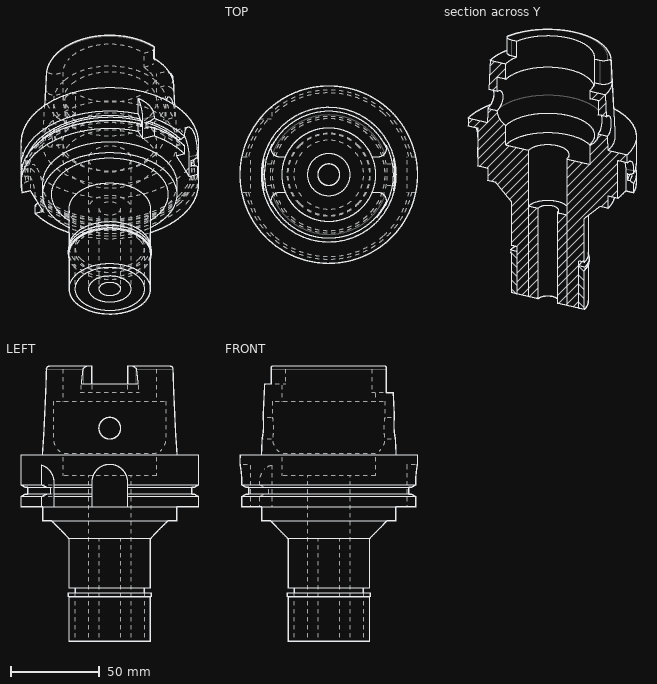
import cadquery as cq


SHANK_HEIGHT = 50.0
SHANK_BASE_RADIUS = 38.0
SHANK_TOP_RADIUS = 35.6
SHANK_RIM_FILLET = 2.0

FLANGE_DIAMETER = 100.0
FLANGE_RADIUS = FLANGE_DIAMETER / 2
FLANGE_THICKNESS = 29.3
GROOVE_FLOOR_RADIUS = 46.2
GROOVE_SHOULDER_RADIUS = 47.7
GROOVE_CENTRE_DEPTH = 20.2
GROOVE_FLOOR_WIDTH = 3.9
GROOVE_MOUTH_WIDTH = 6.7

COLLAR_RADIUS = 37.8
COLLAR_BOTTOM_DEPTH = 37.0
CONE_TOP_RADIUS = 32.9
CONE_BOTTOM_DEPTH = 47.1
NECK_RADIUS = 23.0
NECK_BOTTOM_DEPTH = 74.9
SPIGOT_RADIUS = 19.5
TOTAL_HEIGHT = 155.0
NOSE_DEPTH = TOTAL_HEIGHT - SHANK_HEIGHT

MOUTH_RADIUS = 26.4
MOUTH_DEPTH = 20.0
CHAMBER_RADIUS = 31.6
CHAMBER_FILLET = 9.9
CHAMBER_FILLET_TOP = 9.5
BORE_FLOOR = -11.6
COLLET_RADIUS = 12.0
COLLET_BORE_RADIUS = 6.0

CROSS_HOLE_RADIUS = 6.0
CROSS_HOLE_HEIGHT = 15.0
KEY_WIDTH = 20.0
SHALLOW_KEY_DEPTH = 10.0
DEEP_KEY_DEPTH = 15.0
KEY_CORNER_RADIUS = 4.6
KEY_SHOULDER = 32.4
NOTCH_TOP_DEPTH = 5.3
DRIVE_NOTCH_FLOOR = 44.0
SIDE_NOTCH_FLOOR = 32.0
SIDE_NOTCH_OFFSET = 41.4

NUT_RADIUS = NECK_RADIUS
NUT_TOP_DEPTH = 77.7
NUT_RIM_RADIUS = 23.4
NUT_RIM_HEIGHT = 1.9
NUT_RIM_CHAMFER = 0.5


def cylinder(radius, bottom, top):
    return cq.Workplane("XY").workplane(offset=bottom).circle(radius).extrude(top - bottom)


def revolved(outline):
    """Revolve a closed (radius, height) outline about the Z axis."""
    return cq.Workplane("XZ").polyline(outline).close().revolve(360, (0, 0), (0, 1))


def shank():
    """Hollow-shank cone with a key slot at either side and a rounded rim."""
    cone = revolved([
        (0, 0),
        (SHANK_BASE_RADIUS, 0),
        (SHANK_TOP_RADIUS, SHANK_HEIGHT),
        (0, SHANK_HEIGHT),
    ])
    cone = cone.faces(">Z").edges().fillet(SHANK_RIM_FILLET)
    return cone.cut(key_slot(-1, SHALLOW_KEY_DEPTH)).cut(key_slot(1, DEEP_KEY_DEPTH))


def key_slot(side, depth):
    """Radial slot in the shank rim, opening through rounded corners onto flat shoulders."""
    slot_half = KEY_WIDTH / 2
    flat_half = SHANK_TOP_RADIUS
    corner_x = side * (KEY_SHOULDER - KEY_CORNER_RADIUS)
    corner_y = slot_half + KEY_CORNER_RADIUS
    shoulder_x = side * KEY_SHOULDER
    outer_x = side * SHANK_BASE_RADIUS
    return (
        cq.Workplane("XY")
        .workplane(offset=SHANK_HEIGHT - depth)
        .moveTo(0, -slot_half)
        .lineTo(corner_x, -slot_half)
        .tangentArcPoint((shoulder_x, -corner_y), relative=False)
        .lineTo(shoulder_x, -flat_half)
        .lineTo(outer_x, -flat_half)
        .lineTo(outer_x, flat_half)
        .lineTo(shoulder_x, flat_half)
        .lineTo(shoulder_x, corner_y)
        .tangentArcPoint((corner_x, slot_half), relative=False)
        .lineTo(0, slot_half)
        .close()
        .extrude(depth)
    )


def lower_body():
    """Grooved flange, collar, cone, neck and the spigot that carries the nut."""
    half_floor = GROOVE_FLOOR_WIDTH / 2
    half_mouth = GROOVE_MOUTH_WIDTH / 2
    return revolved([
        (0, 0),
        (FLANGE_RADIUS, 0),
        (FLANGE_RADIUS, -GROOVE_CENTRE_DEPTH + half_mouth),
        (GROOVE_SHOULDER_RADIUS, -GROOVE_CENTRE_DEPTH + half_floor),
        (GROOVE_FLOOR_RADIUS, -GROOVE_CENTRE_DEPTH + half_floor),
        (GROOVE_FLOOR_RADIUS, -GROOVE_CENTRE_DEPTH - half_floor),
        (GROOVE_SHOULDER_RADIUS, -GROOVE_CENTRE_DEPTH - half_floor),
        (FLANGE_RADIUS, -GROOVE_CENTRE_DEPTH - half_mouth),
        (FLANGE_RADIUS, -FLANGE_THICKNESS),
        (COLLAR_RADIUS, -FLANGE_THICKNESS),
        (COLLAR_RADIUS, -COLLAR_BOTTOM_DEPTH),
        (CONE_TOP_RADIUS, -COLLAR_BOTTOM_DEPTH),
        (NECK_RADIUS, -CONE_BOTTOM_DEPTH),
        (NECK_RADIUS, -NECK_BOTTOM_DEPTH),
        (SPIGOT_RADIUS, -NECK_BOTTOM_DEPTH),
        (SPIGOT_RADIUS, -NOSE_DEPTH),
        (0, -NOSE_DEPTH),
    ])


def flange_notch(side, floor, offset):
    """Round-topped notch, open below and outward, with a flat floor across X."""
    half_width = KEY_WIDTH / 2
    arch_height = -NOTCH_TOP_DEPTH - half_width
    return (
        cq.Workplane("YZ")
        .workplane(offset=side * floor)
        .moveTo(offset - half_width, -FLANGE_THICKNESS)
        .lineTo(offset - half_width, arch_height)
        .threePointArc((offset, -NOTCH_TOP_DEPTH), (offset + half_width, arch_height))
        .lineTo(offset + half_width, -FLANGE_THICKNESS)
        .close()
        .extrude(side * (FLANGE_RADIUS - floor))
    )


def clamping_bore():
    """Bore open at the shank rim, widened midway into a chamber with a rounded lower end."""
    mouth = cylinder(MOUTH_RADIUS, BORE_FLOOR, SHANK_HEIGHT)
    chamber_bottom = CHAMBER_FILLET_TOP - CHAMBER_FILLET
    chamber = cylinder(CHAMBER_RADIUS, chamber_bottom, SHANK_HEIGHT - MOUTH_DEPTH)
    chamber = chamber.faces("<Z").edges().fillet(CHAMBER_FILLET)
    return mouth.union(chamber)


def make_holder():
    """Tool holder: tapered shank, notched flange and neck, bored along and across its axis."""
    holder = shank().union(lower_body())
    for side in (-1, 1):
        holder = holder.cut(flange_notch(side, DRIVE_NOTCH_FLOOR, 0))
    holder = holder.cut(flange_notch(-1, SIDE_NOTCH_FLOOR, SIDE_NOTCH_OFFSET))
    holder = holder.cut(clamping_bore())
    holder = holder.cut(cylinder(COLLET_RADIUS, -NOSE_DEPTH, BORE_FLOOR))
    cross_hole = (
        cq.Workplane("YZ")
        .center(0, CROSS_HOLE_HEIGHT)
        .circle(CROSS_HOLE_RADIUS)
        .extrude(SHANK_BASE_RADIUS, both=True)
    )
    return holder.cut(cross_hole)


def make_nut():
    """Ring on the spigot, with a raised rim that is chamfered on its lower edge."""
    rim_bottom = -NUT_TOP_DEPTH - NUT_RIM_HEIGHT
    return revolved([
        (SPIGOT_RADIUS, -NUT_TOP_DEPTH),
        (NUT_RIM_RADIUS, -NUT_TOP_DEPTH),
        (NUT_RIM_RADIUS, rim_bottom),
        (NUT_RADIUS, rim_bottom - NUT_RIM_CHAMFER),
        (NUT_RADIUS, -NOSE_DEPTH),
        (SPIGOT_RADIUS, -NOSE_DEPTH),
    ])


def make_collet():
    """Sleeve in the holder's bore, reaching from the nose to the top of the neck."""
    sleeve = cylinder(COLLET_RADIUS, -NOSE_DEPTH, -CONE_BOTTOM_DEPTH)
    return sleeve.cut(cylinder(COLLET_BORE_RADIUS, -NOSE_DEPTH, -CONE_BOTTOM_DEPTH))


holder = make_holder()
nut = make_nut()
collet = make_collet()

result = cq.Compound.makeCompound([holder.val(), nut.val(), collet.val()])